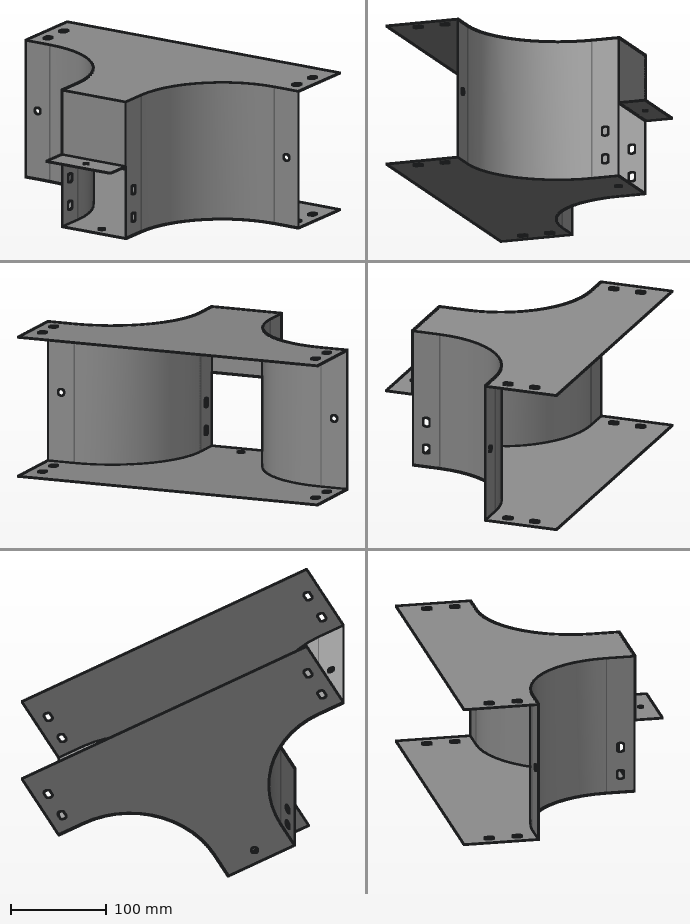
import cadquery as cq

length = 340.0
height = 150.0
depth = 240.0
duct_width = 80.0
end_length = 30.0
sheet = 0.8
flange_drop = 70.5
wall_hole_diameter = 7.0
flange_hole_diameter = 5.0
slot_width = 7.0
slot_length = 10.0
arm_slot_offsets = (30.0, 60.0)
stem_slot_heights = (20.0, 50.0)

half_length = length / 2
half_width = duct_width / 2
bend_radius = half_length - half_width - end_length
flange_front = -depth / 2
stem_front = flange_front + end_length
bend_start = stem_front + end_length
arm_front = bend_start + bend_radius
rear = depth / 2
hole_inset = end_length / 2
arm_hole_x = half_length - hole_inset
stem_hole_y = stem_front + hole_inset
flange_top = height - flange_drop


def tee_prism(inset):
    """Solid tee whose side walls are moved inward by inset; mouths stay in place."""
    side = half_width - inset
    front = arm_front + inset
    radius = bend_radius + inset
    center_x = half_width + bend_radius
    diagonal = radius * 0.5**0.5
    middle = (center_x - diagonal, bend_start + diagonal)
    return (
        cq.Workplane("XY")
        .moveTo(-half_length, rear)
        .lineTo(half_length, rear)
        .lineTo(half_length, front)
        .lineTo(center_x, front)
        .threePointArc(middle, (side, bend_start))
        .lineTo(side, stem_front)
        .lineTo(-side, stem_front)
        .lineTo(-side, bend_start)
        .threePointArc((-middle[0], middle[1]), (-center_x, front))
        .lineTo(-half_length, front)
        .close()
        .extrude(height)
    )


def duct_shell():
    """Floor, roof and curved side walls, open at the rear and at the mouths."""
    floor_to_roof = cq.Workplane("XY").box(
        length, depth, height - 2 * sheet, centered=(True, True, False)
    ).translate((0, 0, sheet))
    return tee_prism(0).cut(tee_prism(sheet).intersect(floor_to_roof))


def front_bracket():
    """Plate closing the upper part of the stem mouth, bent out into a flange."""
    plate = cq.Workplane("XY").box(
        duct_width, sheet, flange_drop + sheet, centered=(True, False, False)
    ).translate((0, stem_front - sheet, flange_top - sheet))
    flange = cq.Workplane("XY").box(
        duct_width, end_length, sheet, centered=(True, False, False)
    ).translate((0, flange_front, flange_top - sheet))
    return plate.union(flange)


def slot_outline():
    """Circle trimmed by two straight flanks, leaving shallow arcs as the slot ends."""
    strip = cq.Sketch().rect(slot_width, slot_length)
    return cq.Sketch().circle(slot_length / 2).face(strip, mode="i").clean()


def arm_slots():
    """Slots through floor and roof near both arm mouths."""
    points = [(side * arm_hole_x, rear - offset) for side in (-1, 1) for offset in arm_slot_offsets]
    return cq.Workplane("XY").pushPoints(points).placeSketch(slot_outline()).extrude(height)


def stem_slots():
    """Upright slots through both stem side walls."""
    points = [(stem_hole_y, z) for z in stem_slot_heights]
    return (
        cq.Workplane("YZ", origin=(-half_width, 0, 0))
        .pushPoints(points)
        .placeSketch(slot_outline())
        .extrude(duct_width)
    )


def arm_wall_holes():
    """Round holes at mid height in the straight front walls of the arms."""
    return (
        cq.Workplane("XZ", origin=(0, arm_front + sheet, 0))
        .pushPoints([(side * arm_hole_x, height / 2) for side in (-1, 1)])
        .circle(wall_hole_diameter / 2)
        .extrude(sheet)
    )


def round_hole(y, diameter, bottom):
    """Vertical hole through one sheet on the centre line."""
    return (
        cq.Workplane("XY", origin=(0, y, bottom))
        .circle(diameter / 2)
        .extrude(sheet)
    )


result = (
    duct_shell()
    .union(front_bracket())
    .cut(arm_slots())
    .cut(stem_slots())
    .cut(arm_wall_holes())
    .cut(round_hole(stem_hole_y, wall_hole_diameter, 0))
    .cut(round_hole(flange_front + hole_inset, flange_hole_diameter, flange_top - sheet))
)